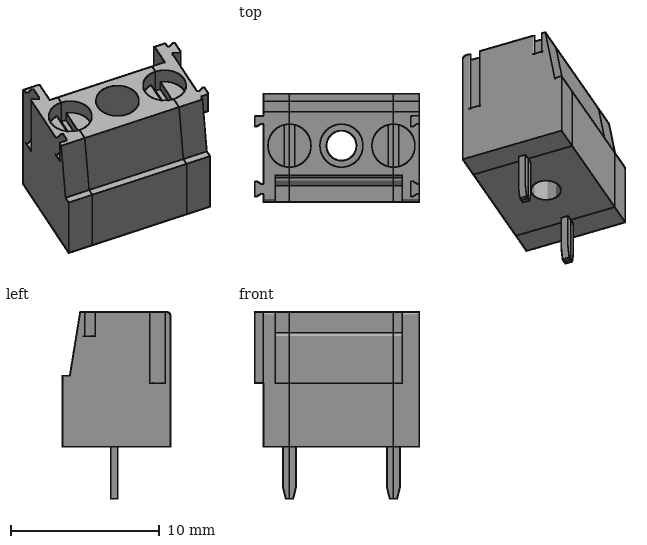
import cadquery as cq
import math


pitch = 3.5
positions = 3
half_length = positions * pitch / 2
half_span = (positions - 1) * pitch / 2
height = 9.1
front_y = -3.8
depth = 7.3
rear_y = front_y + depth
shoulder_z = 4.8
shoulder_width = 0.5
slope_run = 0.7
slope_bottom_y = rear_y - shoulder_width
slope_top_y = slope_bottom_y - slope_run
front_edge_radius = 0.3

left_cheek = 0.8
right_cheek = 1.15
recess_left_x = -half_length + left_cheek
recess_right_x = half_length - right_cheek
recess_floor_z = 4.3
recess_floor_y = front_y + 1.1
lip_y = front_y + 1.2
lip_z = 7.7
lip_back_y = front_y + 1.64
recess_top_y = front_y + 1.8
lip_radius = 0.4

bore_diameter = 2.9
screw_bore_depth = 1.1
slot_width = 0.7
slot_depth = 0.7
through_diameter = 2.0
counterbore_depth = 4.8

tab_reach = 0.6
flank_angle = 30
tab_flare = tab_reach * math.tan(math.radians(flank_angle))
tab_radius = 0.1
front_tab_y = front_y + 0.89
front_tab_neck = 0.51
front_tab_height = height - recess_floor_z
rear_tab_flat_y = front_y + 5.8
rear_tab_neck = 0.45
rear_tab_height = 1.63

pin_width = 0.9
pin_thickness = 0.5
pin_length = 3.5
pin_tip_width = 0.5
pin_tip_length = 0.8


def box(x_min, x_max, y_min, y_max, z_min, z_max):
    return cq.Workplane("XY").box(
        x_max - x_min, y_max - y_min, z_max - z_min, centered=False
    ).translate((x_min, y_min, z_min))


def block():
    """Side profile with the rear shoulder and slope, extruded along the block."""
    profile = [
        (front_y, 0),
        (rear_y, 0),
        (rear_y, shoulder_z),
        (slope_bottom_y, shoulder_z),
        (slope_top_y, height),
        (front_y, height),
    ]
    body = cq.Workplane("YZ").polyline(profile).close().extrude(half_length, both=True)
    return body.edges("|X").edges("<Y").edges(">Z").fillet(front_edge_radius)


def front_recess():
    """Recess volume; its back wall steps back at a rounded lip."""
    profile = [
        (front_y, recess_floor_z),
        (recess_floor_y, recess_floor_z),
        (lip_y, lip_z),
        (lip_back_y, lip_z),
        (recess_top_y, height),
        (front_y, height),
    ]
    volume = (
        cq.Workplane("YZ", origin=(recess_left_x, 0, 0))
        .polyline(profile)
        .close()
        .extrude(recess_right_x - recess_left_x)
    )
    lip_point = ((recess_left_x + recess_right_x) / 2, lip_y, lip_z)
    return volume.edges(cq.selectors.NearestToPointSelector(lip_point)).fillet(lip_radius)


def screw_bore(x):
    """Bore down to a screw head with its driver slot."""
    radius = bore_diameter / 2
    head_z = height - screw_bore_depth
    slot_z = head_z - slot_depth
    bore = cq.Workplane("XY", origin=(x, 0, slot_z)).circle(radius).extrude(height - slot_z)
    slot = box(x - slot_width / 2, x + slot_width / 2, -radius, radius, slot_z, height)
    open_bore = box(x - radius, x + radius, -radius, radius, head_z, height)
    return bore.intersect(slot.union(open_bore))


def middle_hole():
    through = cq.Workplane("XY").circle(through_diameter / 2).extrude(height)
    counterbore_z = height - counterbore_depth
    counterbore = (
        cq.Workplane("XY", origin=(0, 0, counterbore_z))
        .circle(bore_diameter / 2)
        .extrude(counterbore_depth)
    )
    return through.union(counterbore)


def dovetail(side_x, front_neck_y, rear_neck_y, front_flare, rear_flare, tail_height):
    """Upright dovetail reaching toward -X from the plane at side_x, with rounded outer edges."""
    tip_x = side_x - tab_reach
    outline = [
        (side_x, front_neck_y),
        (tip_x, front_neck_y - front_flare),
        (tip_x, rear_neck_y + rear_flare),
        (side_x, rear_neck_y),
    ]
    tail = (
        cq.Workplane("XY", origin=(0, 0, height - tail_height))
        .polyline(outline)
        .close()
        .extrude(tail_height)
    )
    return tail.edges("|Z").edges("<X").fillet(tab_radius)


def dovetails(side_x):
    """The front tail flares both ways, the rear one only toward the front."""
    half_neck = front_tab_neck / 2
    front_tail = dovetail(
        side_x, front_tab_y - half_neck, front_tab_y + half_neck, tab_flare, tab_flare, front_tab_height
    )
    rear_tail = dovetail(
        side_x, rear_tab_flat_y - rear_tab_neck, rear_tab_flat_y, tab_flare, 0, rear_tab_height
    )
    return front_tail, rear_tail


def round_necks(body, side_x):
    """Round the four upright edges where the dovetails meet the side of the block."""
    half_neck = front_tab_neck / 2
    necks = [
        (front_tab_y - half_neck, front_tab_height),
        (front_tab_y + half_neck, front_tab_height),
        (rear_tab_flat_y - rear_tab_neck, rear_tab_height),
        (rear_tab_flat_y, rear_tab_height),
    ]
    for y, tail_height in necks:
        neck_point = (side_x, y, height - tail_height / 2)
        body = body.edges("|Z").edges(cq.selectors.NearestToPointSelector(neck_point)).fillet(tab_radius)
    return body


def pin(x):
    """Flat pin below the block, tapered in width at its tip."""
    taper_z = pin_tip_length - pin_length
    outline = [
        (x - pin_width / 2, 0),
        (x - pin_width / 2, taper_z),
        (x - pin_tip_width / 2, -pin_length),
        (x + pin_tip_width / 2, -pin_length),
        (x + pin_width / 2, taper_z),
        (x + pin_width / 2, 0),
    ]
    return cq.Workplane("XZ").polyline(outline).close().extrude(pin_thickness / 2, both=True)


def complete_block():
    body = block().cut(front_recess()).cut(middle_hole())
    for tab in dovetails(-half_length):
        body = body.union(tab)
    for groove in dovetails(half_length):
        body = body.cut(groove)
    for side_x in (-half_length, half_length):
        body = round_necks(body, side_x)
    for x in (-half_span, half_span):
        body = body.cut(screw_bore(x)).union(pin(x))
    return body


def piece(body, x_min, x_max):
    """Part of the block between two upright planes."""
    return body.intersect(box(x_min, x_max, front_y, rear_y, -pin_length, height)).solids()


whole = complete_block()
left_end = piece(whole, -half_length - tab_reach, -half_span)
middle = piece(whole, -half_span, half_span)
right_end = piece(whole, half_span, half_length)

result = cq.Compound.makeCompound([left_end.val(), middle.val(), right_end.val()])